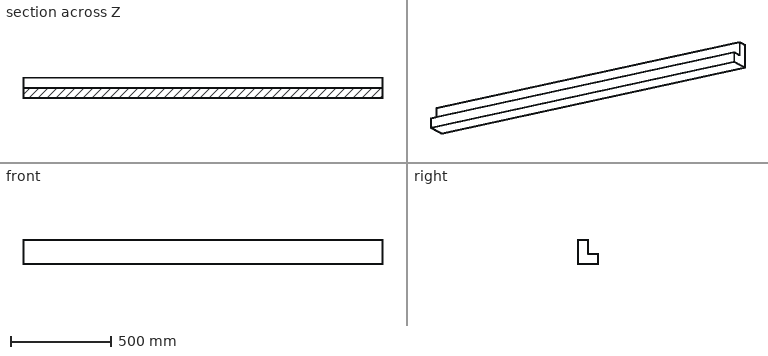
import cadquery as cq

length = 1789.11
depth = 101.6
height = 120.65

wall_thickness = 50.8
ledge_height = 50.8

profile = [
    (0, 0),
    (depth, 0),
    (depth, ledge_height),
    (wall_thickness, ledge_height),
    (wall_thickness, height),
    (0, height),
]

result = cq.Workplane("YZ").polyline(profile).close().extrude(length)